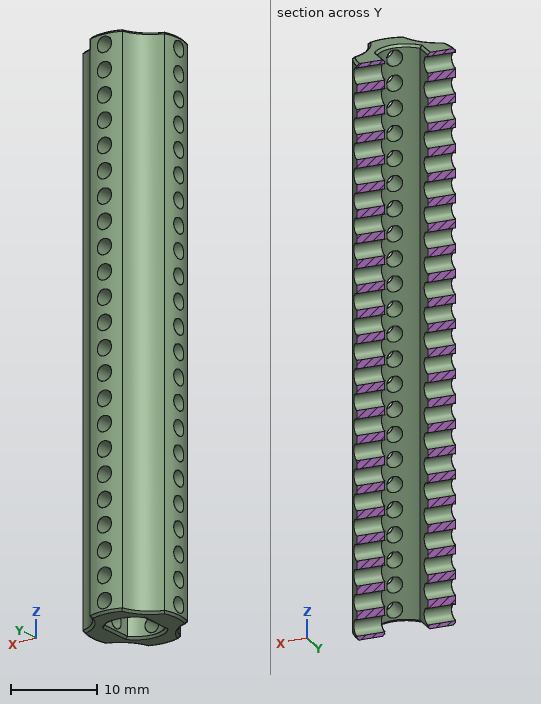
import cadquery as cq
import math

PITCH = 3.125
HOLE_ROWS = 23
OUTER_DIAMETER = 4 * PITCH
LENGTH = HOLE_ROWS * PITCH
LOBE_WIDTH = 4.6
GROOVE_DEPTH_RADIUS = 5.1
BORE_DIAMETER = 7.0
BORE_FLATS = 5.4
SIDE_HOLE_DIAMETER = 2.0
END_CHAMFER = 0.3

OUTER_RADIUS = OUTER_DIAMETER / 2
LOBE_COUNT = 4
LOBE_STEP = 360 / LOBE_COUNT
LOBE_HALF_ANGLE = math.degrees(math.asin(LOBE_WIDTH / 2 / OUTER_RADIUS))


def polar(radius, angle):
    """Point at a radius and an angle in degrees from +X."""
    return (radius * math.cos(math.radians(angle)), radius * math.sin(math.radians(angle)))


def make_body():
    """Round bar with four lobes on the axes and concave grooves between them."""
    outline = cq.Workplane("XY").moveTo(*polar(OUTER_RADIUS, -LOBE_HALF_ANGLE))
    for lobe in range(LOBE_COUNT):
        center = lobe * LOBE_STEP
        next_lobe = center + LOBE_STEP
        outline = outline.threePointArc(
            polar(OUTER_RADIUS, center),
            polar(OUTER_RADIUS, center + LOBE_HALF_ANGLE),
        )
        outline = outline.threePointArc(
            polar(GROOVE_DEPTH_RADIUS, center + LOBE_STEP / 2),
            polar(OUTER_RADIUS, next_lobe - LOBE_HALF_ANGLE),
        )
    return outline.close().extrude(LENGTH)


def make_bore():
    """Through bore: a cylinder with two flats facing along X."""
    cylinder = cq.Workplane("XY").circle(BORE_DIAMETER / 2).extrude(LENGTH)
    flats = cq.Workplane("XY").rect(BORE_FLATS, BORE_DIAMETER).extrude(LENGTH)
    return cylinder.intersect(flats)


def make_side_holes(plane):
    """Column of cross holes through both walls, normal to the given plane."""
    centers = [(0, (row + 0.5) * PITCH) for row in range(HOLE_ROWS)]
    return (
        cq.Workplane(plane)
        .pushPoints(centers)
        .circle(SIDE_HOLE_DIAMETER / 2)
        .extrude(OUTER_DIAMETER, both=True)
    )


tube = make_body().cut(make_bore())
tube = tube.faces("<Z or >Z").edges().chamfer(END_CHAMFER)
for hole_plane in ("XZ", "YZ"):
    tube = tube.cut(make_side_holes(hole_plane))

result = tube